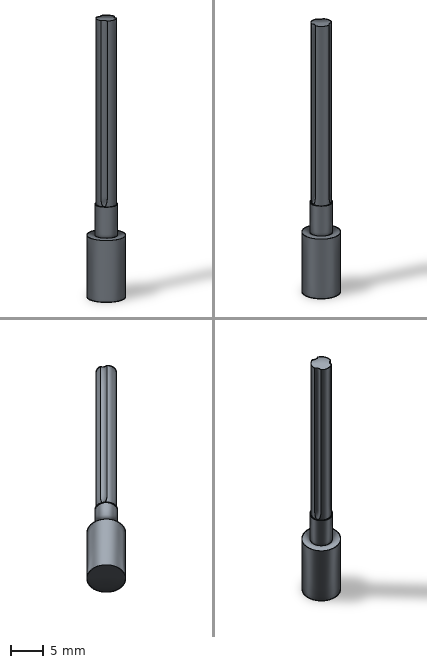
import cadquery as cq

total_height = 45.0
base_diameter = 6.0
base_height = 10.0
collar_diameter = 3.5
collar_top = 15.0
blade_diameter = 3.2

flute_count = 3
first_flute_angle = 90.0
flute_depth = 0.25
flute_radius = 0.8
runout_length = 1.55

flute_floor = blade_diameter / 2 - flute_depth
flute_center = flute_floor + flute_radius
runout_top = collar_top + runout_length
runout_radius = (runout_length**2 + flute_depth**2) / (2 * flute_depth)
runout_sweep = 90.0


def cylinder(diameter, bottom, top):
    return cq.Workplane("XY").workplane(offset=bottom).circle(diameter / 2).extrude(top - bottom)


def flute_cutter():
    """Flute on the +X side: a straight groove whose lower end curves outward."""
    section = cq.Workplane("XY", origin=(flute_center, 0, runout_top)).circle(flute_radius)
    straight = section.extrude(total_height - runout_top)
    axis_offset = flute_floor + runout_radius - flute_center
    runout = (
        cq.Workplane("XY", origin=(flute_center, 0, runout_top))
        .circle(flute_radius)
        .revolve(runout_sweep, (axis_offset, 0), (axis_offset, -1))
    )
    return straight.union(runout)


blade = cylinder(blade_diameter, collar_top, total_height)
cutter = flute_cutter()
for index in range(flute_count):
    angle = first_flute_angle + index * 360 / flute_count
    blade = blade.cut(cutter.rotate((0, 0, 0), (0, 0, 1), angle))

base = cylinder(base_diameter, 0, base_height)
collar = cylinder(collar_diameter, base_height, collar_top)
result = base.union(collar).union(blade)